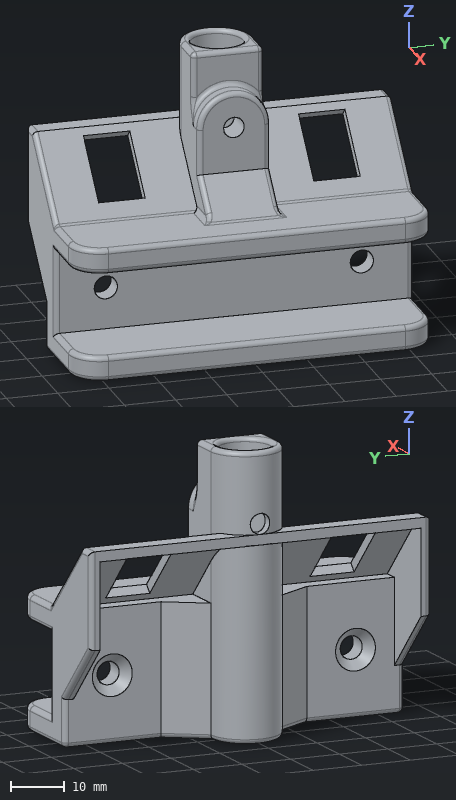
import cadquery as cq

length = 70.0
depth = 33.0
height = 56.3
edge_radius = 1.0

tolerance = 0.1

wall_front = 12.0
wall_thickness = 6.0
flange_thickness = 5.0
channel_gap = 16.3
flange_corner_radius = 6.0
wall_back = wall_front + wall_thickness
upper_flange_bottom = flange_thickness + channel_gap
upper_flange_top = upper_flange_bottom + flange_thickness

hood_lip_depth = 4.0
hood_thickness = 2.0
hood_top = upper_flange_top + wall_back - hood_lip_depth
hood_end_bottom = upper_flange_bottom - wall_front
cavity_top = hood_top - hood_thickness
cavity_back = wall_back - hood_thickness * 2**0.5
cavity_top_depth = cavity_back - (cavity_top - upper_flange_top)

window_width = 9.0
window_length = 14.0
window_spacing = 42.0
window_center_x = 10.2
window_center_z = upper_flange_top + wall_back - window_center_x

tube_diameter = 14.0
tube_radius = tube_diameter / 2
bore_diameter = 10.2
bore_lip_radius = 0.9
gusset_half_width = 15.0

lug_axis_z = 42.3
foot_reach = 7.3
foot_end = wall_back + foot_reach
foot_top = upper_flange_top + foot_reach
pin_hole_diameter = 4.0

screw_hole_diameter = 4.5
countersink_diameter = 8.2
countersink_angle = 90
screw_spacing = 50.0
screw_z = flange_thickness + channel_gap / 2


def extrude_profile(points, width):
    """Extrude a closed XZ outline symmetrically about Y = 0."""
    return cq.Workplane("XZ").polyline(points).close().extrude(width / 2, both=True)


def make_channel():
    """Channel and solid hood, with rounded flange corners and rounded edges."""
    outline = [
        (0, upper_flange_bottom),
        (0, hood_top),
        (hood_lip_depth, hood_top),
        (wall_back, upper_flange_top),
        (depth, upper_flange_top),
        (depth, upper_flange_bottom),
        (wall_back, upper_flange_bottom),
        (wall_back, flange_thickness),
        (depth, flange_thickness),
        (depth, 0),
        (wall_front, 0),
        (wall_front, hood_end_bottom),
    ]
    channel = extrude_profile(outline, length)
    channel = channel.faces(">X").edges("|Z").fillet(flange_corner_radius)
    return channel.faces("<Y or >Y or >X or <Z").edges().fillet(edge_radius)


def make_hood_cavity():
    """Open space under the roof, in front of the wall and between the hood ends."""
    outline = [
        (0, cavity_top),
        (cavity_top_depth, cavity_top),
        (cavity_back, upper_flange_top),
        (wall_front, upper_flange_top),
        (wall_front, 0),
        (0, 0),
    ]
    return extrude_profile(outline, length - 2 * hood_thickness)


def make_tube():
    """Full-height tube body with a square back."""
    tube = cq.Workplane("XY").center(tube_radius, 0).circle(tube_radius).extrude(height)
    back = cq.Workplane("XY").box(tube_radius, tube_diameter, height, centered=(False, True, False))
    return tube.union(back.translate((tube_radius, 0, 0)))


def make_gusseted_tube():
    """Tube with a gusset that widens towards the wall and ends just inside it, rounded below."""
    gusset_slope = (gusset_half_width - tube_radius) / (wall_front - tube_radius)
    gusset_back = wall_front + edge_radius
    gusset_back_half_width = gusset_half_width + edge_radius * gusset_slope
    outline = [
        (tube_radius, -tube_radius),
        (gusset_back, -gusset_back_half_width),
        (gusset_back, gusset_back_half_width),
        (tube_radius, tube_radius),
    ]
    gusset = cq.Workplane("XY").polyline(outline).close().extrude(upper_flange_top)
    exposed_edges = cq.selectors.BoxSelector(
        (-tolerance, -length, -tolerance),
        (wall_front, length, tolerance),
    )
    return make_tube().union(gusset).clean().edges(exposed_edges).fillet(edge_radius)


def make_rib():
    """Rib behind the tube, with the lug on top and the foot below."""
    outline = [
        (tube_radius, upper_flange_bottom),
        (tube_radius, lug_axis_z),
        (wall_back, lug_axis_z),
        (wall_back, foot_top),
        (foot_end, upper_flange_top),
        (foot_end, upper_flange_bottom),
    ]
    lug = (
        cq.Workplane("YZ", origin=(tube_radius, 0, lug_axis_z))
        .circle(tube_radius)
        .extrude(wall_back - tube_radius)
    )
    return extrude_profile(outline, tube_diameter).union(lug)


def make_lug_flare():
    """Concave round between the lug and the flat back of the tube."""
    flare_end = tube_diameter + edge_radius
    ring = (
        cq.Workplane("XY")
        .moveTo(tube_radius, 0)
        .lineTo(tube_radius, tube_radius + edge_radius)
        .lineTo(tube_diameter, tube_radius + edge_radius)
        .radiusArc((flare_end, tube_radius), -edge_radius)
        .lineTo(flare_end, 0)
        .close()
        .revolve(360, (0, 0, 0), (1, 0, 0))
    )
    upper_half = cq.Workplane("XY").box(depth, tube_diameter, tube_diameter, centered=(False, True, False))
    return ring.intersect(upper_half).translate((0, 0, lug_axis_z))


def round_foot(body):
    """Concave round where the foot and the roof meet the top of the upper flange."""
    foot_edges = cq.selectors.BoxSelector(
        (wall_back - tolerance, -length / 2 + 2 * edge_radius, upper_flange_top - tolerance),
        (foot_end + tolerance, length / 2 - 2 * edge_radius, upper_flange_top + tolerance),
    )
    return body.edges(foot_edges).fillet(edge_radius)


def round_tower(body):
    """Convex round along the top of the tube and down the back of the tube, lug and foot."""
    edges = cq.selectors.BoxSelector(
        (-tolerance, -length, height - tolerance),
        (depth, length, height + tolerance),
    )
    for y in (-tube_radius, tube_radius):
        edges += cq.selectors.BoxSelector(
            (tube_diameter - tolerance, y - tolerance, upper_flange_top + 2 * edge_radius),
            (foot_end, y + tolerance, height - edge_radius),
        )
    edges += cq.selectors.NearestToPointSelector((wall_back, 0, lug_axis_z + tube_radius))
    return body.edges(edges).fillet(edge_radius)


def make_bore():
    """Bore through the full height of the tube, with a rounded upper lip."""
    lip = bore_diameter / 2 + bore_lip_radius
    half_section = (
        cq.Workplane("XZ")
        .lineTo(bore_diameter / 2, 0)
        .lineTo(bore_diameter / 2, height - bore_lip_radius)
        .radiusArc((lip, height), bore_lip_radius)
        .lineTo(0, height)
        .close()
    )
    return half_section.revolve(360, (0, 0, 0), (0, 1, 0)).translate((tube_radius, 0, 0))


def make_windows():
    """Two rectangular openings at right angles to the roof."""
    roof_plane = cq.Plane(
        origin=(window_center_x, 0, window_center_z),
        xDir=(0, 1, 0),
        normal=(1, 0, 1),
    )
    return (
        cq.Workplane(roof_plane)
        .pushPoints([(-window_spacing / 2, 0), (window_spacing / 2, 0)])
        .rect(window_width, window_length)
        .extrude(hood_thickness, both=True)
    )


def make_pin_hole():
    """Hole along X through the tube and the lug."""
    return cq.Workplane("YZ", origin=(0, 0, lug_axis_z)).circle(pin_hole_diameter / 2).extrude(depth)


def drill_screw_holes(body):
    """Two holes through the wall, countersunk from the front."""
    front = cq.Workplane("YZ", origin=(wall_front, 0, screw_z)).workplane(invert=True)
    return (
        body.copyWorkplane(front)
        .pushPoints([(-screw_spacing / 2, 0), (screw_spacing / 2, 0)])
        .cskHole(screw_hole_diameter, countersink_diameter, countersink_angle, wall_thickness)
    )


body = make_channel().cut(make_hood_cavity())
body = body.union(make_gusseted_tube()).union(make_rib()).union(make_lug_flare()).clean()
body = round_tower(round_foot(body))
body = body.cut(make_bore()).cut(make_windows()).cut(make_pin_hole())
result = drill_screw_holes(body)